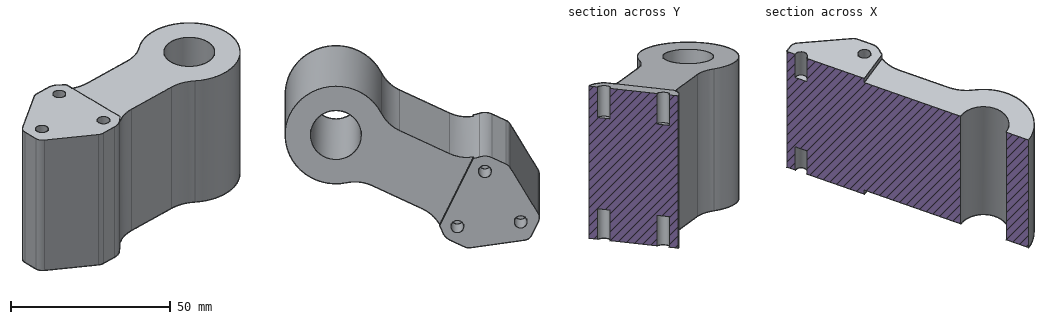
import cadquery as cq
import math

total_length = 85.3
head_height = 50.0
arm_height = 46.5
eye_diameter = 31.9
bore_diameter = eye_diameter / 2
arm_width = 20.0
neck_radius = 12.45
head_step_y = -42.0

pin_hole_diameter = 4.0
pin_hole_depth = 10.0
shoulder_radius = 5.0
shoulder_y = -47.1
flank_top_y = -53.0
tip_width = 8.0
corner_radius = 3.0

eye_radius = eye_diameter / 2
half_arm = arm_width / 2
half_head = half_arm + shoulder_radius
tip_y = eye_radius - total_length
tip_hole_y = tip_y + shoulder_radius

neck_x = half_arm + neck_radius
upper_neck_y = -math.sqrt((eye_radius + neck_radius) ** 2 - neck_x**2)
lower_neck_y = shoulder_y + math.sqrt((shoulder_radius + neck_radius) ** 2 - neck_radius**2)


def polar(center, radius, angle):
    """Point on a circle, with the angle in radians."""
    return (center[0] + radius * math.cos(angle), center[1] + radius * math.sin(angle))


def mirrored(point):
    return (-point[0], point[1])


def link_profile(height):
    """Complete link outline extruded symmetrically about the XY plane."""
    upper_neck = (neck_x, upper_neck_y)
    lower_neck = (neck_x, lower_neck_y)
    shoulder = (half_arm, shoulder_y)
    eye_angle = math.atan2(upper_neck_y, neck_x)
    shoulder_angle = math.atan2(lower_neck_y - shoulder_y, neck_radius)

    eye_end = polar((0, 0), eye_radius, eye_angle)
    upper_mid = polar(upper_neck, neck_radius, math.pi + eye_angle / 2)
    upper_end = (half_arm, upper_neck_y)
    lower_start = (half_arm, lower_neck_y)
    lower_mid = polar(lower_neck, neck_radius, math.pi + shoulder_angle / 2)
    shoulder_start = polar(shoulder, shoulder_radius, shoulder_angle)
    shoulder_mid = polar(shoulder, shoulder_radius, shoulder_angle / 2)
    shoulder_end = (half_head, shoulder_y)
    flank_top = (half_head, flank_top_y)
    tip_corner = (tip_width / 2, tip_y)

    body = (
        cq.Workplane("XY")
        .moveTo(*mirrored(eye_end))
        .threePointArc((0, eye_radius), eye_end)
        .threePointArc(upper_mid, upper_end)
        .lineTo(*lower_start)
        .threePointArc(lower_mid, shoulder_start)
        .threePointArc(shoulder_mid, shoulder_end)
        .lineTo(*flank_top)
        .lineTo(*tip_corner)
        .lineTo(*mirrored(tip_corner))
        .lineTo(*mirrored(flank_top))
        .lineTo(*mirrored(shoulder_end))
        .threePointArc(mirrored(shoulder_mid), mirrored(shoulder_start))
        .threePointArc(mirrored(lower_mid), mirrored(lower_start))
        .lineTo(*mirrored(upper_end))
        .threePointArc(mirrored(upper_mid), mirrored(eye_end))
        .close()
        .extrude(height / 2, both=True)
    )
    nose_edges = cq.selectors.BoxSelector(
        (-total_length, tip_y - 0.85, -height),
        (total_length, (flank_top_y + shoulder_y) / 2, height),
    )
    return body.edges("|Z").edges(nose_edges).fillet(corner_radius)


def head():
    """Taller end of the link, cut square where it meets the arm."""
    head_length = head_step_y - tip_y
    envelope = cq.Workplane("XY").box(eye_diameter, head_length, head_height)
    envelope = envelope.translate((0, tip_y + head_length / 2, 0))
    return link_profile(head_height).intersect(envelope)


def pin_holes():
    """Blind holes entering the head from both end faces."""
    positions = [(-half_arm, shoulder_y), (half_arm, shoulder_y), (0, tip_hole_y)]
    upper = (
        cq.Workplane("XY", origin=(0, 0, head_height / 2))
        .pushPoints(positions)
        .circle(pin_hole_diameter / 2)
        .extrude(-pin_hole_depth)
    )
    return upper.union(upper.mirror("XY"))


bore = cq.Workplane("XY").circle(bore_diameter / 2).extrude(arm_height, both=True)

result = link_profile(arm_height).union(head()).cut(bore).cut(pin_holes())